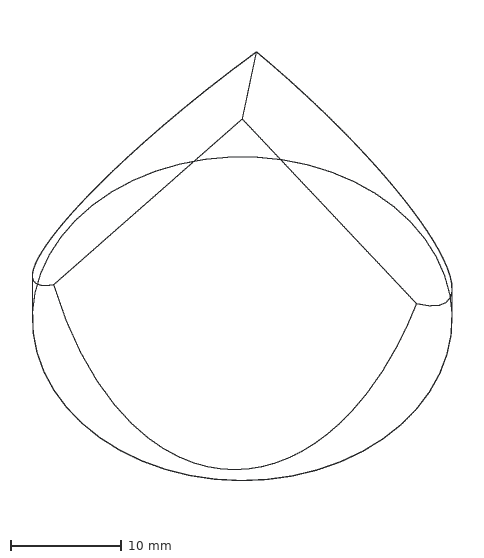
import cadquery as cq
import math

diameter = 38.1
height = 28.5
facet_count = 3
first_facet_azimuth = 60.0
facet_slope = math.sqrt(2)

cutter_size = 3 * diameter


def facet_cutter(azimuth_degrees):
    """Block of waste above the facet that falls away toward the given azimuth."""
    azimuth = math.radians(azimuth_degrees)
    facet_plane = cq.Plane(
        origin=(0, 0, height),
        xDir=(-math.sin(azimuth), math.cos(azimuth), 0),
        normal=(facet_slope * math.cos(azimuth), facet_slope * math.sin(azimuth), 1),
    )
    return cq.Workplane(facet_plane).rect(cutter_size, cutter_size).extrude(cutter_size)


result = cq.Workplane("XY").circle(diameter / 2).extrude(height)
for index in range(facet_count):
    result = result.cut(facet_cutter(first_facet_azimuth + index * 360 / facet_count))